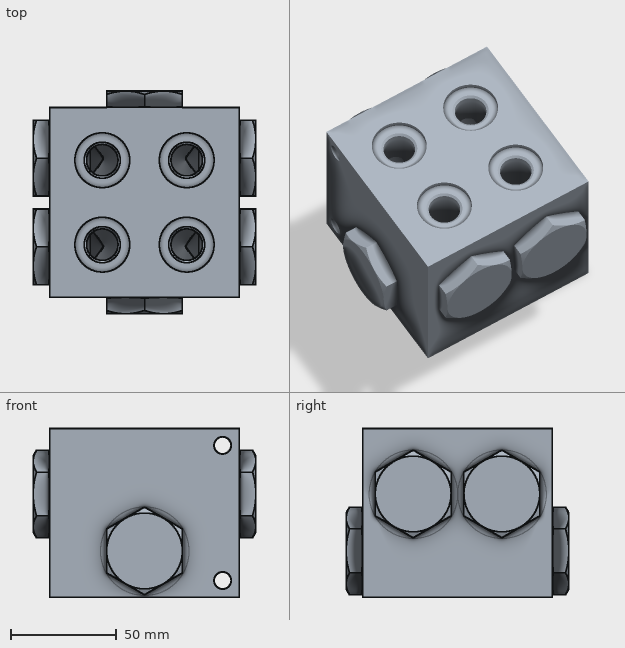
import cadquery as cq
import math

block_width = 90.0
block_height = 80.0
half_width = block_width / 2

head_height = 7.8
flange_diameter = 42.0
flange_thickness = 1.0
hex_across_flats = 36.0
hex_across_corners = hex_across_flats / math.cos(math.radians(30))
hex_face_diameter = 35.9
face_chamfer_angle = 30.0
base_chamfer_angle = 8.0
side_plug_spacing = flange_diameter
side_plug_height = 49.0
end_plug_height = 22.0

port_spacing = 40.0
port_diameter = 14.95
port_mouth_diameter = 17.1
port_mouth_depth = 0.8
spotface_diameter = 26.0
spotface_depth = 2.5
drill_tip_angle = 118.0

cross_bore_diameter = 21.0
cross_bore_depth = 25.7

mounting_hole_diameter = 8.0
mounting_hole_inset = 8.0


def revolve_about_z(points):
    """Turn a half profile of (radius, height) points into a solid about Z."""
    return cq.Workplane("XZ").polyline(points).close().revolve(360, (0, 0, 0), (0, 1, 0))


def drill_tip_length(diameter):
    return diameter / 2 / math.tan(math.radians(drill_tip_angle / 2))


def make_plug():
    """Plug with its flange just below Z = 0 and its head above; two hexagon corners on the X axis."""
    flange = cq.Workplane("XY").circle(flange_diameter / 2).extrude(-flange_thickness)
    head = cq.Workplane("XY").polygon(6, hex_across_corners).extrude(head_height)

    face_radius = hex_face_diameter / 2
    outer_radius = flange_diameter / 2
    chamfer_run = outer_radius - face_radius
    face_chamfer_drop = chamfer_run * math.tan(math.radians(face_chamfer_angle))
    base_chamfer_rise = chamfer_run * math.tan(math.radians(base_chamfer_angle))
    chamfer_envelope = revolve_about_z([
        (0, 0),
        (face_radius, 0),
        (outer_radius, base_chamfer_rise),
        (outer_radius, head_height - face_chamfer_drop),
        (face_radius, head_height),
        (0, head_height),
    ])
    return head.intersect(chamfer_envelope).union(flange)


def make_port_cutter():
    """Spotface, chamfered mouth and drilled hole; the tip reaches the height of the cross bores."""
    mouth_top = block_height - spotface_depth
    port_radius = port_diameter / 2
    spotface_radius = spotface_diameter / 2
    return revolve_about_z([
        (0, side_plug_height),
        (port_radius, side_plug_height + drill_tip_length(port_diameter)),
        (port_radius, mouth_top - port_mouth_depth),
        (port_mouth_diameter / 2, mouth_top),
        (spotface_radius, mouth_top),
        (spotface_radius, block_height),
        (0, block_height),
    ])


def make_cross_bore_cutter():
    """Drilled bore pointing along -X from the +X side, its tip beside the port tip."""
    bore_radius = cross_bore_diameter / 2
    bore = revolve_about_z([
        (0, 0),
        (bore_radius, 0),
        (bore_radius, drill_tip_length(cross_bore_diameter) - cross_bore_depth),
        (0, -cross_bore_depth),
    ])
    return bore.rotate((0, 0, 0), (0, 1, 0), 90).translate((half_width, 0, side_plug_height))


block = cq.Workplane("XY").box(block_width, block_width, block_height, centered=(True, True, False))

port_cutter = make_port_cutter()
cross_bores = {
    1: make_cross_bore_cutter(),
    -1: make_cross_bore_cutter().rotate((0, 0, 0), (0, 0, 1), 180),
}
for x_side in (1, -1):
    for y_side in (1, -1):
        port_x = x_side * port_spacing / 2
        port_y = y_side * port_spacing / 2
        block = block.cut(port_cutter.translate((port_x, port_y, 0)))
        bore_y = y_side * side_plug_spacing / 2
        block = block.cut(cross_bores[x_side].translate((0, bore_y, 0)))

mounting_hole_x = half_width - mounting_hole_inset
for hole_z in (mounting_hole_inset, block_height - mounting_hole_inset):
    mounting_hole = (
        cq.Workplane("XZ", origin=(mounting_hole_x, half_width, hole_z))
        .circle(mounting_hole_diameter / 2)
        .extrude(block_width)
    )
    block = block.cut(mounting_hole)

plus_x_plug = make_plug().rotate((0, 0, 0), (0, 1, 0), 90).translate((half_width, 0, 0))
result = block
for turn in (90, -90):
    end_plug = plus_x_plug.translate((0, 0, end_plug_height))
    result = result.union(end_plug.rotate((0, 0, 0), (0, 0, 1), turn), clean=False)
for turn in (0, 180):
    for y_side in (1, -1):
        side_plug = plus_x_plug.translate((0, y_side * side_plug_spacing / 2, side_plug_height))
        result = result.union(side_plug.rotate((0, 0, 0), (0, 0, 1), turn), clean=False)